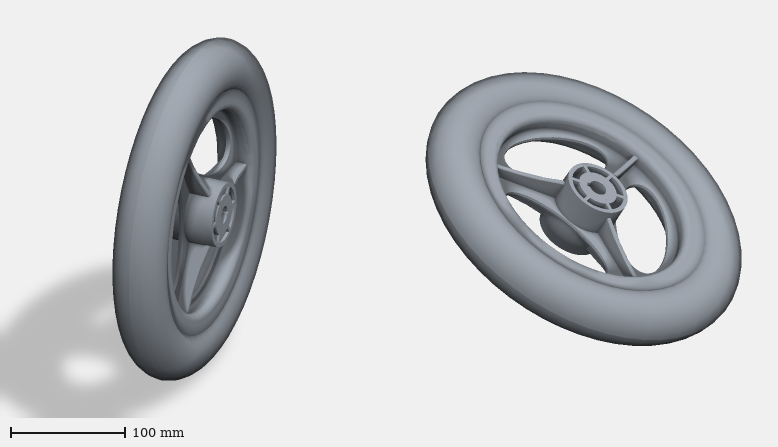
import cadquery as cq
import math

TYRE_RADIUS = 152.5
TYRE_HALF_WIDTH = 23.8
TYRE_ARC_RADIUS = 25.5

RIM_OUTER_RADIUS = 109.7
RIM_LIP_INNER_RADIUS = 96.5
RIM_EDGE_FILLET = 6.0
RIM_ROOT_FILLET = 2.5
RIM_WALL_RADIUS = RIM_LIP_INNER_RADIUS - RIM_EDGE_FILLET

PLATE_HALF_THICKNESS = 2.0
WINDOW_COUNT = 3
WINDOW_OFFSET = 56.0
WINDOW_LONG_RADIUS = 55.8
WINDOW_SHORT_RADIUS = 25.0
WINDOW_FLARE = 0.5

HUB_HALF_LENGTH = 28.0
HUB_PLATE_RADIUS = 29.5
HUB_END_RADIUS = 29.0
HUB_SLOT_COUNT = 6
HUB_SLOT_INNER_RADIUS = 18.3
HUB_SLOT_OUTER_RADIUS = 25.0
HUB_WEB_WIDTH = 3.5

RIB_HUB_HEIGHT = 22.3
RIB_RIM_HEIGHT = 12.2
RIB_WIDTH = 4.5
RIB_CREST_FILLET = 1.0
RIB_END_RADIUS = 91.7

BUSHING_RADIUS = 13.5
BORE_RADIUS = 8.0
KEYWAY_REACH = 10.5
KEYWAY_WIDTH = 4.5


def tube(outer_radius, inner_radius, half_length):
    """Ring about the X axis, centred on X = 0."""
    return (
        cq.Workplane("YZ", origin=(-half_length, 0, 0))
        .circle(outer_radius)
        .circle(inner_radius)
        .extrude(2 * half_length)
    )


def both_sides(half):
    """A shape on the -X side joined to its mirror image on the +X side."""
    return half.union(half.mirror("YZ"))


def turned(shape, angle):
    """The shape turned about the wheel axis by an angle in degrees."""
    return shape.rotate((0, 0, 0), (1, 0, 0), angle)


arc_centre_x = TYRE_ARC_RADIUS - TYRE_HALF_WIDTH
arc_centre_radius = TYRE_RADIUS - math.sqrt(TYRE_ARC_RADIUS ** 2 - arc_centre_x ** 2)

rim_depth = arc_centre_radius - RIM_OUTER_RADIUS
RIM_HALF_WIDTH = math.sqrt(TYRE_ARC_RADIUS ** 2 - rim_depth ** 2) - arc_centre_x


def make_tyre():
    """Ring of two mirrored arcs, seated on the rim."""
    section = (
        cq.Workplane("XY")
        .moveTo(-RIM_HALF_WIDTH, RIM_OUTER_RADIUS)
        .threePointArc((-TYRE_HALF_WIDTH, arc_centre_radius), (0, TYRE_RADIUS))
        .threePointArc((TYRE_HALF_WIDTH, arc_centre_radius), (RIM_HALF_WIDTH, RIM_OUTER_RADIUS))
        .close()
    )
    return section.revolve(360, (0, 0, 0), (1, 0, 0))


def make_turned_wheel():
    """Rim with rounded inner edges, thin plate and hub, bored for the bushing."""
    rounded = math.sqrt(0.5)
    edge_centre_x = -RIM_HALF_WIDTH + RIM_EDGE_FILLET
    root_centre_x = -PLATE_HALF_THICKNESS - RIM_ROOT_FILLET
    root_centre_radius = RIM_WALL_RADIUS - RIM_ROOT_FILLET
    half_profile = (
        cq.Workplane("XY")
        .moveTo(0, BUSHING_RADIUS)
        .lineTo(0, RIM_OUTER_RADIUS)
        .lineTo(-RIM_HALF_WIDTH, RIM_OUTER_RADIUS)
        .lineTo(-RIM_HALF_WIDTH, RIM_LIP_INNER_RADIUS)
        .threePointArc(
            (
                edge_centre_x - RIM_EDGE_FILLET * rounded,
                RIM_LIP_INNER_RADIUS - RIM_EDGE_FILLET * rounded,
            ),
            (edge_centre_x, RIM_WALL_RADIUS),
        )
        .lineTo(root_centre_x, RIM_WALL_RADIUS)
        .threePointArc(
            (
                root_centre_x + RIM_ROOT_FILLET * rounded,
                root_centre_radius + RIM_ROOT_FILLET * rounded,
            ),
            (-PLATE_HALF_THICKNESS, root_centre_radius),
        )
        .lineTo(-PLATE_HALF_THICKNESS, HUB_PLATE_RADIUS)
        .lineTo(-HUB_HALF_LENGTH, HUB_END_RADIUS)
        .lineTo(-HUB_HALF_LENGTH, BUSHING_RADIUS)
        .close()
    )
    return both_sides(half_profile.revolve(360, (0, 0, 0), (1, 0, 0)))


def make_window():
    """Cutter for the window on the -Y side, flaring from the plate's middle to its faces."""
    half = (
        cq.Workplane("YZ")
        .center(-WINDOW_OFFSET, 0)
        .ellipse(WINDOW_SHORT_RADIUS, WINDOW_LONG_RADIUS)
        .workplane(offset=-PLATE_HALF_THICKNESS)
        .ellipse(WINDOW_SHORT_RADIUS + WINDOW_FLARE, WINDOW_LONG_RADIUS + WINDOW_FLARE)
        .loft(ruled=True)
    )
    return both_sides(half)


def make_hub_slots():
    """Cutter for the ring of slots, parted by straight webs."""
    slots = tube(HUB_SLOT_OUTER_RADIUS, HUB_SLOT_INNER_RADIUS, HUB_HALF_LENGTH)
    web = cq.Workplane("XY").box(2 * HUB_HALF_LENGTH, 2 * HUB_SLOT_OUTER_RADIUS, HUB_WEB_WIDTH)
    for index in range(HUB_SLOT_COUNT // 2):
        slots = slots.cut(turned(web, index * 360 / HUB_SLOT_COUNT))
    return slots


def make_rib():
    """Rib along +Y on both sides, its rounded crest sinking in an arc that levels out at the rim."""
    start_radius = HUB_SLOT_OUTER_RADIUS
    middle_radius = (start_radius + RIB_END_RADIUS) / 2
    middle_height = RIB_RIM_HEIGHT + (RIB_HUB_HEIGHT - RIB_RIM_HEIGHT) / 4
    half = (
        cq.Workplane("XY")
        .moveTo(0, start_radius)
        .lineTo(-RIB_HUB_HEIGHT, start_radius)
        .threePointArc((-middle_height, middle_radius), (-RIB_RIM_HEIGHT, RIB_END_RADIUS))
        .lineTo(0, RIB_END_RADIUS)
        .close()
        .extrude(RIB_WIDTH / 2, both=True)
        .edges("%CIRCLE")
        .fillet(RIB_CREST_FILLET)
    )
    return both_sides(half)


def make_wheel():
    """Rim, plate, hub and ribs in one piece, with the windows and hub slots cut."""
    wheel = make_turned_wheel()
    window = make_window()
    rib = make_rib()
    for index in range(WINDOW_COUNT):
        angle = index * 360 / WINDOW_COUNT
        wheel = wheel.cut(turned(window, angle)).union(turned(rib, angle))
    return wheel.cut(make_hub_slots())


def make_bushing():
    """Sleeve as long as the hub, with a keyway on the +Y side of its bore."""
    keyway = cq.Workplane("XY").box(
        2 * HUB_HALF_LENGTH, KEYWAY_REACH, KEYWAY_WIDTH, centered=(True, False, True)
    )
    return tube(BUSHING_RADIUS, BORE_RADIUS, HUB_HALF_LENGTH).cut(keyway)


tyre = make_tyre()
wheel = make_wheel()
bushing = make_bushing()

result = cq.Compound.makeCompound([tyre.val(), wheel.val(), bushing.val()])